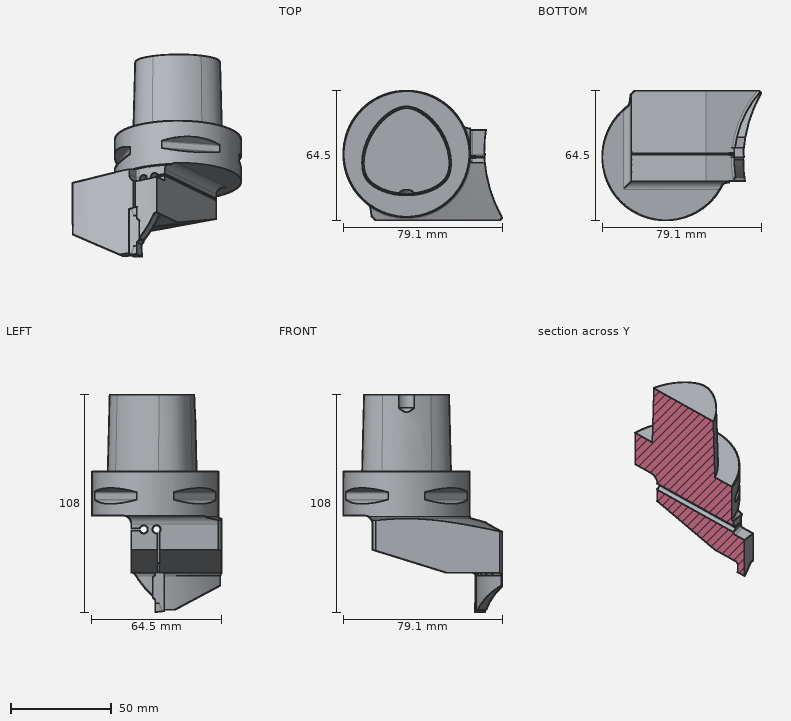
import cadquery as cq
import math


shank_height = 38.0
shank_radius = 22.1
shank_lobe = 1.5
shank_taper = 0.025
flat_half_angle = 23
points_per_side = 9

notch_radius = 5.0
notch_y = -22.7
notch_depth = 6.5
notch_tip_angle = 45

flange_diameter = 63.0
flange_radius = flange_diameter / 2
flange_height = 22.0
flange_chamfer = 0.3
groove_count = 4
groove_z = -12.2
groove_floor = 27.8
groove_floor_width = 3.7
groove_wall_angle = 30
groove_floor_fillet = 0.4
groove_overshoot = 2.2

overall_length = 108.0
overall_width = 79.1
overall_depth = 64.5
tip_z = shank_height - overall_length
head_left = -17.0
head_right = overall_width - flange_radius
head_front = flange_radius - overall_depth
head_back = 12.0
head_bottom = -50.4
head_left_chamfer = 1.6
head_right_chamfer = 1.2
slope_start_z = -39.0
slope_end_x = 19.9
head_fillet = 4.0
plate_size = 216.0
plate_thickness = 5.4

shoulder_angle = math.radians(15)
shoulder_start_z = -23.1
shoulder_fillet = 0.8
shoulder_outer_radius = 70.2

blade_arc_y = 1.6
blade_outer_x = 38.7
blade_outer_radius = 67.0
blade_inner_x = 34.1
blade_inner_radius = 51.3
blade_front_z = -56.4
blade_bottom = -68.8
blade_bottom_front = -9.7
blade_fillet = 1.5
jaw_back = 10.5
jaw_middle = (5.7, -57.2)
jaw_tip_z = -62.0

insert_length = 24.6
insert_middle_z = tip_z + insert_length / 2
insert_base_y = -4.5
insert_crown_y = 1.3
crown_half_length = 5.0
insert_left = blade_inner_x
insert_right = blade_outer_x
end_relief = 0.5
rake_length = 4.4
side_overhang = 0.3
rear_overhang = 0.16
relief_depth = 3.6

slit_width = 1.0
slit_hole_radius = 1.9
slit_hole_z = -28.8
back_slit_hole_y = 5.7
seat_slit_hole_y = -0.6
seat_slit_y = -1.5

recess_left = 31.6
recess_front = -4.3
recess_floor = -32.0
recess_front_fillet = 4.2
recess_left_fillet = 1.1


def shank_point(angle, mean_radius):
    """Point of the three-lobed outline where its normal has the given angle in degrees."""
    turn = math.radians(angle)
    lobe_turn = 3 * (turn - math.pi / 2)
    reach = mean_radius + shank_lobe * math.cos(lobe_turn)
    slide = -3 * shank_lobe * math.sin(lobe_turn)
    return (
        reach * math.cos(turn) - slide * math.sin(turn),
        reach * math.sin(turn) + slide * math.cos(turn),
    )


def shank_side(first_angle, last_angle, mean_radius, z):
    step = (last_angle - first_angle) / (points_per_side - 1)
    angles = [first_angle + i * step for i in range(points_per_side)]
    return cq.Edge.makeSpline([cq.Vector(*shank_point(a, mean_radius), z) for a in angles])


def shank_outline(z):
    """Closed outline of three flat sides and three lobes."""
    mean_radius = shank_radius - shank_taper * z
    sides = []
    for flat_middle in (-90, 30, 150):
        flat_start = flat_middle - flat_half_angle
        flat_end = flat_middle + flat_half_angle
        next_flat_start = flat_start + 120
        sides.append(shank_side(flat_start, flat_end, mean_radius, z))
        sides.append(shank_side(flat_end, next_flat_start, mean_radius, z))
    return cq.Wire.assembleEdges(sides)


def make_shank():
    shank = cq.Workplane(cq.Solid.makeLoft([shank_outline(0), shank_outline(shank_height)], True))
    notch_z = shank_height - notch_depth
    cone_height = notch_radius * math.tan(math.radians(notch_tip_angle))
    notch = (
        cq.Workplane("XZ")
        .polyline([
            (0, shank_height),
            (notch_radius, shank_height),
            (notch_radius, notch_z),
            (0, notch_z - cone_height),
        ])
        .close()
        .revolve(360, (0, 0), (0, 1))
        .translate((0, notch_y, 0))
    )
    return shank.cut(notch)


def make_flange():
    flange = cq.Workplane("XY").circle(flange_radius).extrude(-flange_height)
    flange = flange.faces(">Z").edges().chamfer(flange_chamfer)
    groove_mouth = flange_radius + groove_overshoot
    floor_half = groove_floor_width / 2
    mouth_half = floor_half + (groove_mouth - groove_floor) * math.tan(math.radians(groove_wall_angle))
    groove = (
        cq.Workplane("XZ")
        .polyline([
            (groove_floor, groove_z - floor_half),
            (groove_mouth, groove_z - mouth_half),
            (groove_mouth, groove_z + mouth_half),
            (groove_floor, groove_z + floor_half),
        ])
        .close()
        .extrude(flange_radius, both=True)
        .faces("<X")
        .edges("|Y")
        .fillet(groove_floor_fillet)
    )
    for i in range(groove_count):
        angle = 360 / groove_count * (i + 0.5)
        flange = flange.cut(groove.rotate((0, 0, 0), (0, 0, 1), angle))
    return flange


def arc_x(vertex_x, radius, y):
    """X at the given Y on an arc whose leftmost point is (vertex_x, blade_arc_y)."""
    return vertex_x + radius - math.sqrt(radius**2 - (y - blade_arc_y) ** 2)


def arc_point(vertex_x, radius, y):
    return (arc_x(vertex_x, radius, y), y)


def make_head_column():
    """Head footprint over the full depth, flaring into the plane of the flange underside."""
    outer_end_y = head_front + head_right_chamfer
    middle_y = (outer_end_y + head_back) / 2
    footprint = (
        cq.Workplane("XY")
        .workplane(offset=tip_z)
        .moveTo(head_left, head_back)
        .lineTo(head_left, head_front + head_left_chamfer)
        .lineTo(head_left + head_left_chamfer, head_front)
        .lineTo(head_right - head_right_chamfer, head_front)
        .lineTo(head_right, outer_end_y)
        .threePointArc(
            arc_point(blade_outer_x, blade_outer_radius, middle_y),
            arc_point(blade_outer_x, blade_outer_radius, head_back),
        )
        .close()
        .extrude(-flange_height - tip_z)
    )
    plate = (
        cq.Workplane("XY")
        .workplane(offset=-flange_height)
        .rect(plate_size, plate_size)
        .extrude(plate_thickness)
    )
    column = footprint.union(plate)
    edge_z = -flange_height
    flared_edges = (
        cq.selectors.NearestToPointSelector((head_left, 0, edge_z))
        + cq.selectors.NearestToPointSelector((0, head_back, edge_z))
    )
    return column.edges(flared_edges).fillet(head_fillet)


def make_shoulder_envelope():
    """Solid of revolution under the flange that limits the head with a 15 degree cone."""
    tangent_length = shoulder_fillet * math.tan((math.pi / 2 - shoulder_angle) / 2)
    fillet_top = (flange_radius, shoulder_start_z + tangent_length)
    fillet_end = (
        flange_radius + tangent_length * math.cos(shoulder_angle),
        shoulder_start_z - tangent_length * math.sin(shoulder_angle),
    )
    rim_z = shoulder_start_z - (shoulder_outer_radius - flange_radius) * math.tan(shoulder_angle)
    return (
        cq.Workplane("XZ")
        .moveTo(0, -flange_height)
        .lineTo(flange_radius, -flange_height)
        .lineTo(*fillet_top)
        .tangentArcPoint(fillet_end, relative=False)
        .lineTo(shoulder_outer_radius, rim_z)
        .lineTo(shoulder_outer_radius, tip_z)
        .lineTo(0, tip_z)
        .close()
        .revolve(360, (0, 0), (0, 1))
    )


def make_blade_blank():
    """Blade with its base fillets, standing under an oversized plate at the head bottom."""
    far_x = head_right + plate_thickness
    plan = (
        cq.Workplane("XY")
        .workplane(offset=blade_bottom)
        .moveTo(far_x, head_front)
        .lineTo(*arc_point(blade_inner_x, blade_inner_radius, head_front))
        .threePointArc(
            arc_point(blade_inner_x, blade_inner_radius, head_front / 2),
            arc_point(blade_inner_x, blade_inner_radius, head_back),
        )
        .lineTo(far_x, head_back)
        .close()
        .extrude(head_bottom - blade_bottom)
    )
    side = (
        cq.Workplane("YZ")
        .moveTo(jaw_back, head_bottom)
        .threePointArc(jaw_middle, (insert_crown_y, jaw_tip_z))
        .lineTo(insert_base_y, jaw_tip_z)
        .lineTo(insert_base_y, blade_bottom)
        .lineTo(blade_bottom_front, blade_bottom)
        .lineTo(head_front, blade_front_z)
        .lineTo(head_front, head_bottom)
        .close()
        .extrude(plate_size)
    )
    plate = (
        cq.Workplane("XY")
        .workplane(offset=head_bottom)
        .rect(plate_size, plate_size)
        .extrude(-flange_height - head_bottom)
    )
    blank = plan.intersect(side).union(plate)
    inner_edge_point = (*arc_point(blade_inner_x, blade_inner_radius, head_front / 2), head_bottom)
    base_edges = (
        cq.selectors.NearestToPointSelector(inner_edge_point)
        + cq.selectors.NearestToPointSelector((head_right, jaw_back, head_bottom))
    )
    return blank.edges(base_edges).fillet(blade_fillet)


def make_bottom_slope():
    """Wedge removed below the sloping left part of the head."""
    return (
        cq.Workplane("XZ")
        .polyline([(head_left, slope_start_z), (slope_end_x, head_bottom), (head_left, head_bottom)])
        .close()
        .extrude(plate_size, both=True)
    )


def make_slits():
    """Two cross holes, one slit open to the back and one open to the bottom."""
    span = plate_size / 2
    holes = (
        cq.Workplane("YZ")
        .pushPoints([(back_slit_hole_y, slit_hole_z), (seat_slit_hole_y, slit_hole_z)])
        .circle(slit_hole_radius)
        .extrude(span, both=True)
    )
    back_slit_length = head_back - back_slit_hole_y
    back_slit = (
        cq.Workplane("YZ")
        .center(back_slit_hole_y + back_slit_length / 2, slit_hole_z)
        .rect(back_slit_length, slit_width)
        .extrude(span, both=True)
    )
    seat_slit_length = slit_hole_z - head_bottom
    seat_slit = (
        cq.Workplane("YZ")
        .center(seat_slit_y, slit_hole_z - seat_slit_length / 2)
        .rect(slit_width, seat_slit_length)
        .extrude(span, both=True)
    )
    return holes.union(back_slit).union(seat_slit)


def make_recess():
    """Step at the right end of the head, open upwards, to the back and to the right."""
    width = head_back + head_fillet - recess_front
    height = -flange_height - recess_floor
    return (
        cq.Workplane("YZ", origin=(recess_left, recess_front, recess_floor))
        .moveTo(0, height)
        .lineTo(0, recess_front_fillet)
        .radiusArc((recess_front_fillet, 0), -recess_front_fillet)
        .lineTo(width, 0)
        .lineTo(width, height)
        .close()
        .extrude(head_right - recess_left)
        .faces("<X")
        .edges("<Z")
        .fillet(recess_left_fillet)
    )


def insert_profile(left, right):
    """Side outline of the insert, extruded between two X positions."""
    half = insert_length / 2
    crown_rise_end = crown_half_length + insert_crown_y
    return (
        cq.Workplane("YZ", origin=(left, 0, insert_middle_z))
        .polyline([
            (insert_base_y, end_relief - half),
            (0, -half),
            (0, -crown_rise_end),
            (insert_crown_y, -crown_half_length),
            (insert_crown_y, crown_half_length),
            (0, crown_rise_end),
            (0, half),
            (insert_base_y, half - end_relief),
        ])
        .close()
        .extrude(right - left)
    )


def make_cutting_head():
    """Lower cutting end, wider than the insert body and relieved on every flank."""
    rear_z = tip_z + rake_length
    relieved_tip_z = tip_z + end_relief * relief_depth / -insert_base_y

    def section(y, front_z, front_overhang, back_overhang):
        corners = [
            (insert_left - front_overhang, y, front_z),
            (insert_right + front_overhang, y, front_z),
            (insert_right + back_overhang, y, rear_z),
            (insert_left - back_overhang, y, rear_z),
        ]
        return cq.Wire.makePolygon([cq.Vector(*corner) for corner in corners], close=True)

    rake = section(0, tip_z, side_overhang, rear_overhang)
    root = section(-relief_depth, relieved_tip_z, 0, rear_overhang - side_overhang)
    return cq.Workplane(cq.Solid.makeLoft([rake, root], True))


def make_insert():
    lower_head = make_cutting_head()
    upper_head = lower_head.mirror("XY", (0, 0, insert_middle_z))
    return insert_profile(insert_left, insert_right).union(lower_head).union(upper_head)


def make_seat_clearance():
    """Opens the seat to the right, and clears the blade base fillet left of the insert."""
    below_head = (
        cq.Workplane("XY")
        .workplane(offset=head_bottom)
        .rect(plate_size, plate_size)
        .extrude(tip_z - head_bottom)
    )
    right_opening = insert_profile(insert_left, head_right)
    left_gap = insert_profile(insert_left - 2 * blade_fillet, insert_right).intersect(below_head)
    return right_opening.union(left_gap)


def make_holder(insert):
    head = make_head_column().intersect(make_shoulder_envelope()).intersect(make_blade_blank())
    head = head.cut(make_bottom_slope()).cut(make_recess()).cut(make_slits())
    head = head.cut(make_seat_clearance()).cut(insert)
    return make_flange().union(make_shank()).union(head)


insert = make_insert()
holder = make_holder(insert)

result = cq.Compound.makeCompound([holder.solids().val(), insert.solids().val()])